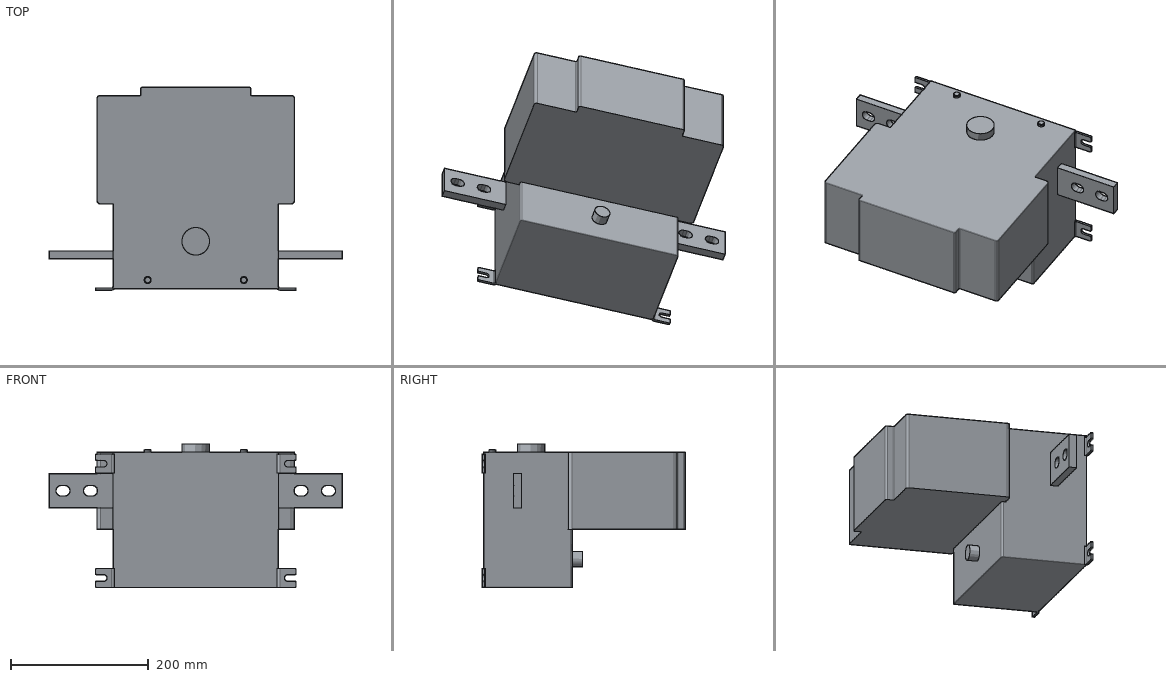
import cadquery as cq

housing_top = 197.0
narrow_width = 240.0
narrow_depth = 129.0
wide_width = 287.0
wide_front = 123.0
wide_rear = 280.7
wide_bottom = 84.5
step_width = 160.0
step_rear = 293.0
wide_front_radius = 5.0
wide_rear_radius = 4.0
step_corner_radius = 2.5
step_inner_radius = 1.5
narrow_corner_radius = 2.5
edge_round = 0.65
junction_radius = 1.0

overall_height = 208.7
knob_diameter = 40.0
knob_y = 69.0
screw_diameter = 10.2
screw_height = 4.0
screw_chamfer = 1.05
screw_spacing = 139.7
screw_y = 12.8

pin_diameter = 22.5
pin_length = 15.0
pin_z = 41.5

bar_length = 426.0
bar_thickness = 11.5
bar_height = 50.0
bar_y = 49.5
bar_z = 140.5
bar_hole_length = 20.0
bar_hole_height = 15.0
bar_hole_end_distance = 20.0
bar_hole_pitch = 40.0

bracket_span = 291.5
bracket_height = 27.5
bracket_thickness = 3.5
bracket_front = -2.0
bracket_inner_bend = 1.5
bracket_bend_x = 122.3
bracket_corner_radius = 1.3
bracket_slot_width = 9.5
bracket_slot_depth = 16.5
lower_bracket_z = 0.0
upper_bracket_z = 166.0


def centred_block(width, y_start, y_end, z_start, z_end):
    """Block symmetric about the YZ plane."""
    return cq.Workplane("XY").box(
        width, y_end - y_start, z_end - z_start, centered=(True, False, False)
    ).translate((0, y_start, z_start))


def make_housing():
    narrow = centred_block(narrow_width, 0, narrow_depth, 0, housing_top)
    narrow = narrow.edges("|Z and >Y").fillet(narrow_corner_radius)
    narrow = narrow.faces("<Z").edges("not <Y").fillet(edge_round)

    wide = centred_block(wide_width, wide_front, wide_rear, wide_bottom, housing_top)
    wide = wide.edges("|Z and <Y").fillet(wide_front_radius)
    wide = wide.edges("|Z and >Y").fillet(wide_rear_radius)
    step = centred_block(step_width, wide_rear - wide_rear_radius, step_rear, wide_bottom, housing_top)
    step = step.edges("|Z and >Y").fillet(step_corner_radius)
    wide = wide.union(step)
    half_step = step_width / 2
    inner_corners = cq.selectors.BoxSelector(
        (-half_step - edge_round, wide_rear - edge_round, wide_bottom - edge_round),
        (half_step + edge_round, wide_rear + edge_round, housing_top + edge_round),
    )
    wide = wide.edges("|Z").edges(inner_corners).fillet(step_inner_radius)

    housing = narrow.union(wide)
    half_narrow = narrow_width / 2
    junctions = cq.selectors.BoxSelector(
        (-half_narrow - edge_round, wide_front - edge_round, wide_bottom),
        (half_narrow + edge_round, wide_front + edge_round, housing_top),
    )
    housing = housing.edges("|Z").edges(junctions).fillet(junction_radius)
    return housing.faces(">Z").edges("not <Y").fillet(edge_round)


def make_top_fittings():
    knob = (
        cq.Workplane("XY", origin=(0, knob_y, housing_top))
        .circle(knob_diameter / 2)
        .extrude(overall_height - housing_top)
    )
    screws = (
        cq.Workplane("XY", origin=(0, screw_y, housing_top))
        .rarray(screw_spacing, 4.3, 2, 1)
        .circle(screw_diameter / 2)
        .extrude(screw_height)
        .faces(">Z")
        .chamfer(screw_chamfer)
    )
    return knob.union(screws)


def make_rear_pin():
    return (
        cq.Workplane("XZ", origin=(0, narrow_depth, pin_z))
        .circle(pin_diameter / 2)
        .extrude(-pin_length)
    )


def make_bus_bar():
    bar = cq.Workplane("XY").box(bar_length, bar_thickness, bar_height)
    outer_hole_x = bar_length / 2 - bar_hole_end_distance
    inner_hole_x = outer_hole_x - bar_hole_pitch
    hole_places = [(side * x, 0) for side in (-1, 1) for x in (inner_hole_x, outer_hole_x)]
    holes = (
        cq.Workplane("XZ")
        .pushPoints(hole_places)
        .slot2D(bar_hole_length, bar_hole_height)
        .extrude(bar_thickness, both=True)
    )
    return bar.cut(holes).translate((0, bar_y, bar_z))


def make_right_bracket(z_start):
    """Flat slotted tab whose inner end bends back into the housing side."""
    tip_x = bracket_span / 2
    outer_bend = bracket_inner_bend + bracket_thickness
    tab_back = bracket_front + bracket_thickness
    bend_y = bracket_front + outer_bend
    diagonal = 0.5 ** 0.5
    strip = (
        cq.Workplane("XY")
        .moveTo(tip_x, bracket_front)
        .lineTo(bracket_bend_x, bracket_front)
        .threePointArc(
            (bracket_bend_x - outer_bend * diagonal, bend_y - outer_bend * diagonal),
            (bracket_bend_x - outer_bend, bend_y),
        )
        .lineTo(bracket_bend_x - bracket_inner_bend, bend_y)
        .threePointArc(
            (bracket_bend_x - bracket_inner_bend * diagonal, bend_y - bracket_inner_bend * diagonal),
            (bracket_bend_x, tab_back),
        )
        .lineTo(tip_x, tab_back)
        .close()
        .extrude(bracket_height)
    )
    slot = (
        cq.Workplane("XZ", origin=(tip_x, 0, bracket_height / 2))
        .slot2D(2 * bracket_slot_depth, bracket_slot_width)
        .extrude(outer_bend, both=True)
    )
    tab = strip.cut(slot).edges("|Y and >X").fillet(bracket_corner_radius)
    return tab.translate((0, 0, z_start))


result = make_housing()
result = result.union(make_top_fittings())
result = result.union(make_rear_pin())
result = result.union(make_bus_bar())
for bracket_z in (lower_bracket_z, upper_bracket_z):
    bracket = make_right_bracket(bracket_z)
    result = result.union(bracket).union(bracket.mirror("YZ"))